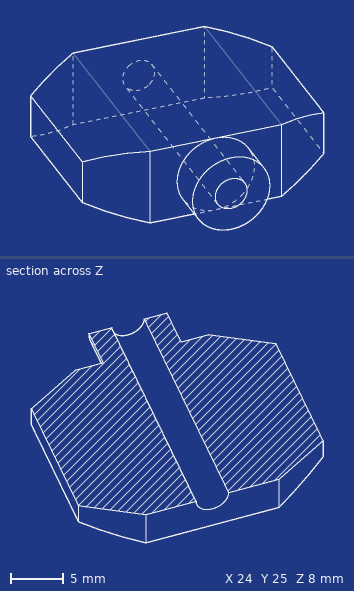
import cadquery as cq
import math

body_length = 20.0
body_width = 25.0
thickness = 8.0

flat_width = 13.6
edge_thickness = 4.55
wing_bulge = 0.2
corner_angle = 30.0
corner_depth = (body_width - flat_width) / 2
corner_inset = corner_depth * math.tan(math.radians(corner_angle))

boss_length = 4.0
boss_diameter = thickness
bore_diameter = 3.3


def wing_arc_middle(side_y, side_z):
    """Middle point of the curved face in the given quadrant of the YZ section."""
    drop = (thickness - edge_thickness) / 2
    chord = math.hypot(corner_depth, drop)
    y = (body_width + flat_width) / 4 + wing_bulge * drop / chord
    z = (thickness + edge_thickness) / 4 + wing_bulge * corner_depth / chord
    return side_y * y, side_z * z


def make_section():
    """Body with flat middle and tapering, curved wings, extruded along X."""
    flat_y = flat_width / 2
    top_z = thickness / 2
    edge_y = body_width / 2
    edge_z = edge_thickness / 2
    return (
        cq.Workplane("YZ")
        .moveTo(-flat_y, top_z)
        .lineTo(flat_y, top_z)
        .threePointArc(wing_arc_middle(1, 1), (edge_y, edge_z))
        .lineTo(edge_y, -edge_z)
        .threePointArc(wing_arc_middle(1, -1), (flat_y, -top_z))
        .lineTo(-flat_y, -top_z)
        .threePointArc(wing_arc_middle(-1, -1), (-edge_y, -edge_z))
        .lineTo(-edge_y, edge_z)
        .threePointArc(wing_arc_middle(-1, 1), (-flat_y, top_z))
        .close()
        .extrude(body_length / 2, both=True)
    )


def make_outline():
    """Rectangular plan outline with its four corners cut at an angle."""
    half_x = body_length / 2
    half_y = body_width / 2
    flat_y = flat_width / 2
    end_x = half_x - corner_inset
    points = [
        (half_x, -flat_y),
        (half_x, flat_y),
        (end_x, half_y),
        (-end_x, half_y),
        (-half_x, flat_y),
        (-half_x, -flat_y),
        (-end_x, -half_y),
        (end_x, -half_y),
    ]
    return cq.Workplane("XY").polyline(points).close().extrude(thickness / 2, both=True)


body = make_section().intersect(make_outline())
boss_face = cq.Workplane("YZ", origin=(body_length / 2, 0, 0))
boss = boss_face.circle(boss_diameter / 2).extrude(boss_length)
bore_start = cq.Workplane("YZ", origin=(-body_length / 2, 0, 0))
bore = bore_start.circle(bore_diameter / 2).extrude(body_length + boss_length)

result = body.union(boss).cut(bore)